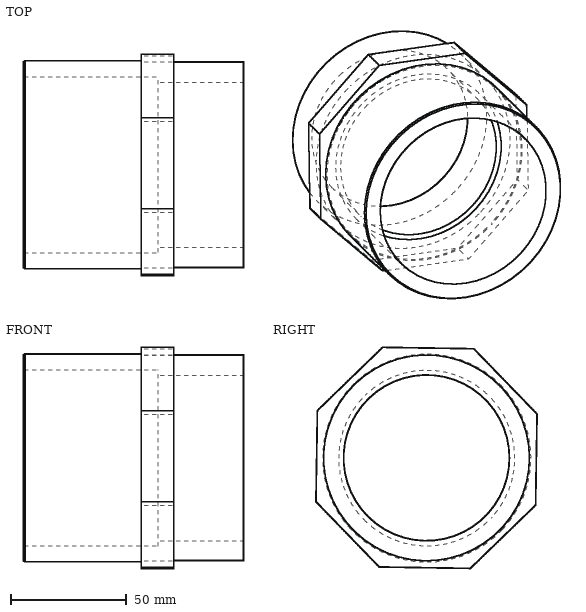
import cadquery as cq
import math

TOTAL_LENGTH = 95.2
SOCKET_LENGTH = 50.9
COLLAR_WIDTH = 14.2

SOCKET_OUTER_DIAMETER = 90.0
TAIL_OUTER_DIAMETER = 89.0
SOCKET_BORE_DIAMETER = 76.0
THROUGH_BORE_DIAMETER = 71.5

SOCKET_BORE_DEPTH = SOCKET_LENGTH + COLLAR_WIDTH / 2

MOUTH_CHAMFER_LENGTH = 0.9
MOUTH_CHAMFER_HEIGHT = 0.5

COLLAR_SIDES = 8
COLLAR_EXTENT = 95.65
COLLAR_TURN = 0.9
HALF_SIDE_ANGLE = 180 / COLLAR_SIDES
COLLAR_CORNER_DIAMETER = COLLAR_EXTENT / math.cos(math.radians(HALF_SIDE_ANGLE - COLLAR_TURN))


def make_sleeve():
    """Revolved pipe sleeve with a stepped outside and a stepped bore."""
    socket_radius = SOCKET_OUTER_DIAMETER / 2
    tail_radius = TAIL_OUTER_DIAMETER / 2
    socket_bore_radius = SOCKET_BORE_DIAMETER / 2
    through_bore_radius = THROUGH_BORE_DIAMETER / 2
    half_section = [
        (0, socket_bore_radius),
        (0, socket_radius - MOUTH_CHAMFER_HEIGHT),
        (MOUTH_CHAMFER_LENGTH, socket_radius),
        (SOCKET_LENGTH, socket_radius),
        (SOCKET_LENGTH, tail_radius),
        (TOTAL_LENGTH, tail_radius),
        (TOTAL_LENGTH, through_bore_radius),
        (SOCKET_BORE_DEPTH, through_bore_radius),
        (SOCKET_BORE_DEPTH, socket_bore_radius),
    ]
    return cq.Workplane("XY").polyline(half_section).close().revolve(360, (0, 0, 0), (1, 0, 0))


def make_collar():
    """Octagonal ring that fits around the tail and rests against the socket shoulder."""
    return (
        cq.Workplane("YZ", origin=(SOCKET_LENGTH, 0, 0))
        .polygon(COLLAR_SIDES, COLLAR_CORNER_DIAMETER)
        .circle(TAIL_OUTER_DIAMETER / 2)
        .extrude(COLLAR_WIDTH)
        .rotate((0, 0, 0), (1, 0, 0), HALF_SIDE_ANGLE - COLLAR_TURN)
    )


sleeve = make_sleeve()
collar = make_collar()

result = cq.Compound.makeCompound([sleeve.val(), collar.val()])